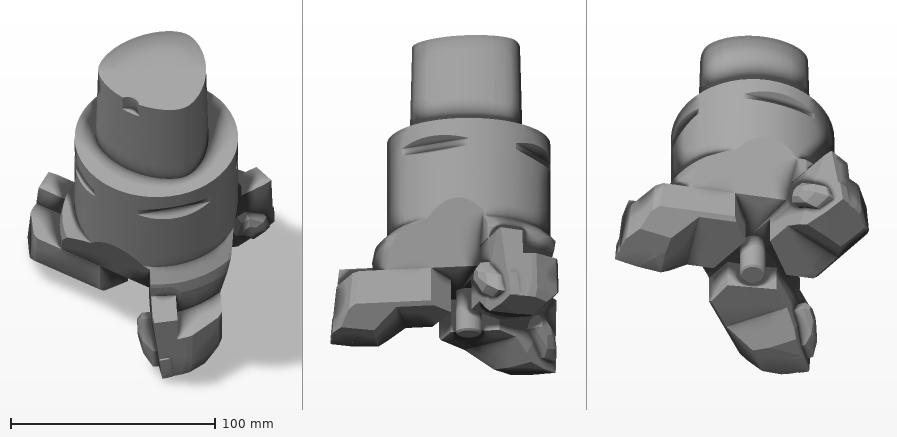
import cadquery as cq
import math

total_height = 149.2
far = 298.5

flange_radius = 40.0
flange_top = 101.2
flange_bottom = 51.2
collar_upper_radius = 46.1
collar_upper_z = 45.0
collar_radius = 47.3
collar_z = 39.1
collar_foot_radius = 46.9
holder_base_z = 24.8

shank_foot_radius = 27.6
shank_top_radius = 26.4
lobe_height = 2.1
lobe_half_angle = 34.0
lobe_pitch = 120.0
curve_steps = 6

keyway_radius = 6.0
keyway_axis_y = -27.8
keyway_depth = 8.0

groove_count = 4
groove_start_angle = 45.0
groove_z = 89.1
groove_floor_height = 3.3
groove_mouth_height = 8.4
groove_floor_distance = 35.5

pin_radius = 6.3
pin_end_z = 3.1
pin_chamfer = 0.9

wing_angles = [0.0, 124.0, 244.0]
face_y = 4.9
lower_face_y = 4.6
step_top_z = 22.8
step_bottom_z = 22.1
step_end_x = -46.3
gullet_wall_y = 5.2
back_y = -29.5
slab_back_y = -7.2
slab_top_z = 37.0
seat_z = 23.9
seat_tilt = 8.0
relief_tilt = 18.2
relief_foot_z = 28.4
neck_flat_x = -46.3
neck_flat_top_z = 43.1
neck_flat_back_y = -14.9
neck_flat_depth = 14.9
wing_reach = 71.6
inner_tip = (-6.5, -16.1)
inner_tip_half_angle = 60.0
chin_z = 9.3
ramp_inner_x = -31.8
ramp_outer_x = -45.0
back_chamfer_z = 11.2
outer_chamfer_z = 9.7
bottom_point = (-57.5, 0.0, 0.3)
bottom_normal = (-0.1, -0.09, -1.0)

outer_walls = [
    ((-64.0, -7.8, 26.9), (-0.99, -0.11, 0.11)),
    ((-63.4, -12.5, 26.9), (-0.97, -0.25, 0.1)),
    ((-54.0, -26.9, 26.9), (-0.81, -0.58, 0.08)),
    ((-50.1, back_y, 26.9), (-0.5, -0.86, 0.05)),
    ((-65.2, -12.5, outer_chamfer_z), (-0.97, -0.25, 0.06)),
    ((-55.7, -27.5, outer_chamfer_z), (-0.81, -0.58, -0.05)),
]

rake_normal = cq.Vector(-0.14, 0.986, -0.088)
rake_point = cq.Vector(-59.7, 1.6, 0.0)
insert_thickness = 5.0
insert_inner = -3.9
insert_low = -2.2
insert_outer_bottom = 8.8
insert_outer_top = 7.8
insert_rise = 1.3
insert_height = 13.5
insert_corner_radius = 1.2

clamp_base_y = -1.5
clamp_sections = [
    (face_y, [(40.3, 15.2), (43.7, 23.3), (48.8, 24.0), (60.9, 13.5), (63.1, 4.8), (53.7, 4.3)]),
    (9.4, [(40.6, 15.4), (43.6, 22.7), (48.0, 23.5), (56.4, 15.8), (57.9, 9), (50.7, 7.2)]),
    (11.6, [(43.3, 16.1), (44.5, 19.7), (46.9, 20.3), (50.5, 17.6), (51.3, 14.3), (47.8, 12.8)]),
]


def half_space(point, normal):
    """Block that fills the side of a plane toward which the normal points."""
    plane = cq.Plane(origin=point, normal=normal)
    return cq.Workplane(plane).rect(2 * far, 2 * far).extrude(far)


def turned(shape, angle):
    return shape.rotate((0, 0, 0), (0, 0, 1), angle)


def shank_point(mean_radius, normal_angle):
    """Point of the three-lobed outline where its normal has this angle from +Y."""
    turn = math.radians(normal_angle)
    support = mean_radius + lobe_height * math.cos(3 * turn)
    slide = -3 * lobe_height * math.sin(3 * turn)
    return (
        support * math.sin(turn) + slide * math.cos(turn),
        support * math.cos(turn) - slide * math.sin(turn),
    )


def shank_section(z, mean_radius):
    """Outline of constant width: three lobes and three flanks, one lobe toward +Y."""
    outline = cq.Workplane("XY").workplane(offset=z)
    outline = outline.moveTo(*shank_point(mean_radius, -lobe_half_angle))
    for lobe_angle in (0, lobe_pitch, 2 * lobe_pitch):
        stretches = [
            (lobe_angle - lobe_half_angle, lobe_angle + lobe_half_angle),
            (lobe_angle + lobe_half_angle, lobe_angle + lobe_pitch - lobe_half_angle),
        ]
        for start, end in stretches:
            step = (end - start) / curve_steps
            points = [
                shank_point(mean_radius, start + step * (index + 1)) for index in range(curve_steps)
            ]
            outline = outline.spline(points, includeCurrent=True)
    return outline.close().wire().val()


def make_shank():
    foot = shank_section(flange_top, shank_foot_radius)
    top = shank_section(total_height, shank_top_radius)
    shank = cq.Workplane(cq.Solid.makeLoft([foot, top], True))
    keyway = (
        cq.Workplane("XY").workplane(offset=total_height - keyway_depth)
        .center(0, keyway_axis_y).circle(keyway_radius).extrude(keyway_depth)
    )
    return shank.cut(keyway)


def make_gripper_groove():
    """V-shaped groove with a flat floor, cut across the flange at its +X side."""
    opening = flange_radius - groove_floor_distance
    slope = (groove_mouth_height - groove_floor_height) / 2 / opening
    depth = 2 * opening
    outer_half = groove_floor_height / 2 + slope * depth
    return (
        cq.Workplane("XZ")
        .moveTo(groove_floor_distance, groove_z - groove_floor_height / 2)
        .lineTo(groove_floor_distance + depth, groove_z - outer_half)
        .lineTo(groove_floor_distance + depth, groove_z + outer_half)
        .lineTo(groove_floor_distance, groove_z + groove_floor_height / 2)
        .close().extrude(flange_radius, both=True)
    )


def make_round_body():
    body = (
        cq.Workplane("XZ")
        .moveTo(0, holder_base_z)
        .lineTo(collar_foot_radius, holder_base_z)
        .lineTo(collar_radius, collar_z)
        .lineTo(collar_upper_radius, collar_upper_z)
        .lineTo(flange_radius, flange_bottom)
        .lineTo(flange_radius, flange_top)
        .lineTo(0, flange_top)
        .close().revolve(360, (0, 0, 0), (0, 1, 0))
    )
    for index in range(groove_count):
        body = body.cut(turned(make_gripper_groove(), groove_start_angle + index * 360 / groove_count))
    return body


def make_center_pin():
    return (
        cq.Workplane("XY").workplane(offset=pin_end_z)
        .circle(pin_radius).extrude(holder_base_z - pin_end_z)
        .faces("<Z").chamfer(pin_chamfer)
    )


seat_normal = (0, math.sin(math.radians(seat_tilt)), math.cos(math.radians(seat_tilt)))
relief_normal = (0, -math.cos(math.radians(relief_tilt)), -math.sin(math.radians(relief_tilt)))


def make_relief_cut(pitch_to_next):
    """Clearance behind a wing: a sloping flat that ends at the next wing's wall."""
    behind = half_space((0, back_y, relief_foot_z), relief_normal)
    ahead_of_wall = half_space((0, gullet_wall_y, 0), (0, 1, 0))
    ahead_of_slab = half_space((0, face_y, 0), (0, 1, 0))
    below_slab_top = half_space((0, 0, slab_top_z), (0, 0, -1))
    ahead_of_next = ahead_of_wall.union(ahead_of_slab.intersect(below_slab_top))
    return behind.intersect(turned(ahead_of_next, pitch_to_next))


def make_seat_cut(pitch_to_next):
    """Space below the tilted seat, between a wing's face and the next wing's face."""
    below = half_space((0, 0, seat_z), tuple(-c for c in seat_normal))
    behind_face = half_space((0, face_y, 0), (0, -1, 0))
    ahead_of_next = turned(half_space((0, face_y, 0), (0, 1, 0)), pitch_to_next)
    return below.intersect(behind_face).intersect(ahead_of_next)


def make_neck_flat_cut():
    """Flat on the collar above the slab."""
    return cq.Workplane("XY").box(
        neck_flat_depth,
        gullet_wall_y - neck_flat_back_y,
        neck_flat_top_z - holder_base_z,
        centered=False,
    ).translate((neck_flat_x - neck_flat_depth, neck_flat_back_y, holder_base_z))


def make_wing():
    wing = cq.Workplane("XY").box(
        wing_reach, face_y - back_y, slab_top_z, centered=False
    ).translate((-wing_reach, back_y, 0))

    above_seat = half_space((0, 0, seat_z), seat_normal)
    behind_slab = half_space((0, slab_back_y, 0), (0, -1, 0))
    wing = wing.cut(above_seat.intersect(behind_slab))

    tip = (*inner_tip, 0)
    along = math.sin(math.radians(inner_tip_half_angle))
    across = math.cos(math.radians(inner_tip_half_angle))
    wing = wing.cut(half_space(tip, (along, -across, 0)))
    wing = wing.cut(half_space(tip, (along, across, 0)))

    for point, normal in outer_walls:
        wing = wing.cut(half_space(point, normal))

    chin = (
        cq.Workplane("XZ")
        .moveTo(ramp_outer_x, 0).lineTo(ramp_inner_x, chin_z).lineTo(0, chin_z).lineTo(0, 0)
        .close().extrude(far, both=True)
    )
    wing = wing.cut(chin)
    wing = wing.cut(half_space((0, back_y, back_chamfer_z), (0, -1, -1)))
    wing = wing.cut(half_space(bottom_point, bottom_normal))

    step = (
        cq.Workplane("YZ")
        .moveTo(face_y, step_top_z).lineTo(lower_face_y, step_bottom_z)
        .lineTo(lower_face_y, 0).lineTo(face_y, 0)
        .close().extrude(step_end_x)
    )
    wing = wing.cut(step)
    return wing.cut(half_space(rake_point, rake_normal))


def make_insert():
    plane = cq.Plane(origin=rake_point, xDir=(-rake_normal.y, rake_normal.x, 0), normal=rake_normal)
    back_edge = plane.toWorldCoords((0, insert_height, -insert_thickness))
    return (
        cq.Workplane(plane)
        .moveTo(insert_inner, 0).lineTo(insert_low, 0)
        .lineTo(insert_outer_bottom, insert_rise)
        .lineTo(insert_outer_top, insert_height)
        .lineTo(insert_inner, insert_height)
        .close().extrude(-insert_thickness)
        .edges(cq.NearestToPointSelector(back_edge.toTuple())).fillet(insert_corner_radius)
    )


def make_clamp_blank():
    """Faceted clamp, with its foot still running below the cutting face."""
    base_points = clamp_sections[0][1]
    sections = [(clamp_base_y, base_points)] + clamp_sections
    wires = [
        cq.Wire.makePolygon([cq.Vector(-radius, y, z) for radius, z in points], close=True)
        for y, points in sections
    ]
    return cq.Workplane(cq.Solid.makeLoft(wires, True))


holder = make_round_body()
wing_count = len(wing_angles)
for index, angle in enumerate(wing_angles):
    pitch_to_next = (wing_angles[(index + 1) % wing_count] - angle) % 360
    holder = holder.cut(turned(make_seat_cut(pitch_to_next), angle))
    holder = holder.cut(turned(make_relief_cut(pitch_to_next), angle))
    holder = holder.cut(turned(make_neck_flat_cut(), angle))

insert = make_insert()
wing = make_wing()
clamp = make_clamp_blank().cut(wing).cut(insert)
wing = wing.cut(insert)
for angle in wing_angles:
    holder = holder.union(turned(wing, angle))
holder = holder.union(make_shank()).union(make_center_pin())

inserts = [turned(insert, angle).solids().val() for angle in wing_angles]
clamps = [turned(clamp, angle).solids().val() for angle in wing_angles]

result = cq.Compound.makeCompound([holder.solids().val(), *inserts, *clamps])